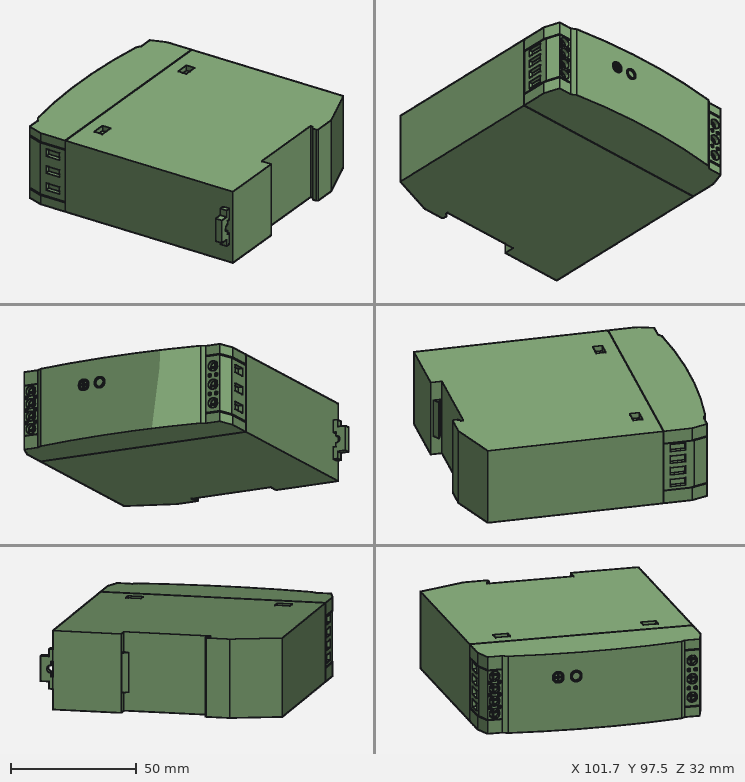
import cadquery as cq
import math

LENGTH = 101.7
HEIGHT = 92.0
WIDTH = 32.0
MID_Z = WIDTH / 2
CLEAR = 1.0

SEAM_X = 22.2
SEAM_SIZE = 0.1
TERMINAL_X = 3.9
BOW_SAG = 2.6
BOW_LOW_Y = 10.1
BOW_HIGH_Y = 81.7
STEP_LOW_Y = 8.4
STEP_HIGH_Y = 83.7
BOW_MID_Y = (BOW_LOW_Y + BOW_HIGH_Y) / 2
CAP_BEVEL_X = 10.6
CAP_BEVEL_RISE = 2.2

RAIL_X = 97.1
RAIL_LOW_Y = 28.0
RAIL_HIGH_Y = 63.6
HOOK_X = 101.3
HOOK_TIP_Y = 62.2
HOOK_TIP_X = 99.1
HOOK_ROOT_X = 98.1
HOOK_CHAMFER = 0.5
BACK_BEVEL_X = 94.2
BACK_BEVEL_Y = 72.2

CLIP_X = RAIL_X
CLIP_THICK = 3.0
CLIP_WIDTH = 16.1
CLIP_SHOULDER = 2.0
CLIP_TIP = 5.5
CLIP_TIP_WIDTH = 10.2
CLIP_NOTCH_WIDTH = 6.1
CLIP_NOTCH_STEP = 1.2
CLIP_NOTCH_END_WIDTH = 2.8
CLIP_NOTCH_DEPTH = 2.8
NOSE_START_X = 97.8
NOSE_PEAK_X = 99.0
NOSE_END_X = 100.6
NOSE_RISE = 2.4

SCREW_DIA = 4.1
SCREW_DEPTH = 2.0
CROSS_WIDTH = 0.5
CROSS_DEPTH = 0.5
PIN_DIA = 1.3
PIN_DEPTH = 1.0
WINDOW_ROW_Z = MID_Z + 0.3
WINDOW_X = 16.3
WINDOW_LENGTH = 6.3
WINDOW_WIDTH = 3.2
WINDOW_DEPTH = 2.0
SLIT_DEPTH = 0.3
SLIT_END = 8.1

LOW_SCREW_Y = 5.3
LOW_SCREW_ROW_Z = MID_Z - 0.3
LOW_PITCH = 7.6
LOW_COUNT = 3
LOW_PIN_SPREAD = 2.8
LOW_PANEL_WIDTH = 23.6
LOW_PANEL_INSET = 0.1
LOW_SLIT = 0.3

HIGH_SCREW_Y = 86.9
HIGH_SCREW_ROW_Z = MID_Z
HIGH_PITCH = 5.2
HIGH_COUNT = 4
HIGH_PIN_SPREAD = 3.9
HIGH_PANEL_WIDTH = 20.7
HIGH_PANEL_INSET = 0.3
HIGH_SLIT = 0.1

DIAL_Y = 61.5
LAMP_Y = 54.2
DIAL_Z = 22.2
RING_OUTER_DIA = 4.6
RING_INNER_DIA = 3.5
RING_DEPTH = 0.3

POCKET_X = 29.7
POCKET_YS = (15.7, 76.7)
POCKET_LENGTH = 3.9
POCKET_HEIGHT = 6.1
POCKET_DEPTH = 2.3


def box(x0, x1, y0, y1, z0, z1):
    return cq.Workplane("XY").box(x1 - x0, y1 - y0, z1 - z0, centered=False).translate((x0, y0, z0))


def rod(x0, x1, y, z, diameter):
    """Cylinder along X."""
    return cq.Workplane("YZ", origin=(x0, y, z)).circle(diameter / 2).extrude(x1 - x0)


def cross(x0, x1, y, z, size):
    """Two crossed bars facing X."""
    plane = cq.Workplane("YZ", origin=(x0, y, z))
    upright = plane.rect(CROSS_WIDTH, size).extrude(x1 - x0)
    return upright.union(plane.rect(size, CROSS_WIDTH).extrude(x1 - x0))


def row(middle, count, pitch):
    """Z positions of an even row about its middle."""
    return [middle + (i - (count - 1) / 2) * pitch for i in range(count)]


def bow_x(y):
    """X of the bowed panel at a given Y."""
    half = (BOW_HIGH_Y - BOW_LOW_Y) / 2
    radius = (half**2 + BOW_SAG**2) / (2 * BOW_SAG)
    return radius - math.sqrt(radius**2 - (y - BOW_MID_Y) ** 2)


def housing():
    return (
        cq.Workplane("XY")
        .moveTo(BOW_SAG, BOW_LOW_Y)
        .threePointArc((0, BOW_MID_Y), (BOW_SAG, BOW_HIGH_Y))
        .lineTo(TERMINAL_X, STEP_HIGH_Y)
        .lineTo(TERMINAL_X, HEIGHT - CAP_BEVEL_RISE)
        .lineTo(CAP_BEVEL_X, HEIGHT)
        .lineTo(BACK_BEVEL_X, HEIGHT)
        .lineTo(HOOK_X, BACK_BEVEL_Y)
        .lineTo(HOOK_X, HOOK_TIP_Y + HOOK_CHAMFER)
        .lineTo(HOOK_X - HOOK_CHAMFER, HOOK_TIP_Y)
        .lineTo(HOOK_TIP_X, HOOK_TIP_Y)
        .lineTo(HOOK_ROOT_X, RAIL_HIGH_Y)
        .lineTo(RAIL_X, RAIL_HIGH_Y)
        .lineTo(RAIL_X, RAIL_LOW_Y)
        .lineTo(LENGTH, RAIL_LOW_Y)
        .lineTo(LENGTH, 0)
        .lineTo(CAP_BEVEL_X, 0)
        .lineTo(TERMINAL_X, CAP_BEVEL_RISE)
        .lineTo(TERMINAL_X, STEP_LOW_Y)
        .close()
        .extrude(WIDTH)
    )


def seam():
    """Hairline groove around the joint of cap and body."""
    x1 = SEAM_X + SEAM_SIZE
    outer = box(SEAM_X, x1, -CLEAR, HEIGHT + CLEAR, -CLEAR, WIDTH + CLEAR)
    core = box(SEAM_X, x1, SEAM_SIZE, HEIGHT - SEAM_SIZE, SEAM_SIZE, WIDTH - SEAM_SIZE)
    return outer.cut(core)


def clip():
    """Sliding rail clip with a stepped tip, a notch and a latch nose."""
    z0 = MID_Z - CLIP_WIDTH / 2
    x1 = CLIP_X + CLIP_THICK
    bar = box(CLIP_X, x1, -CLIP_SHOULDER, RAIL_LOW_Y, z0, z0 + CLIP_WIDTH)
    tip_z0 = MID_Z - CLIP_TIP_WIDTH / 2
    tip = box(CLIP_X, x1, -CLIP_TIP, 0, tip_z0, tip_z0 + CLIP_TIP_WIDTH)
    half = CLIP_NOTCH_WIDTH / 2
    end_radius = CLIP_NOTCH_END_WIDTH / 2
    round_start = end_radius - CLIP_NOTCH_DEPTH
    notch = (
        cq.Workplane("YZ", origin=(CLIP_X, 0, MID_Z))
        .moveTo(0, -half)
        .lineTo(-CLIP_NOTCH_STEP, -half)
        .lineTo(-CLIP_NOTCH_STEP, -end_radius)
        .lineTo(round_start, -end_radius)
        .threePointArc((-CLIP_NOTCH_DEPTH, 0), (round_start, end_radius))
        .lineTo(-CLIP_NOTCH_STEP, end_radius)
        .lineTo(-CLIP_NOTCH_STEP, half)
        .lineTo(0, half)
        .close()
        .extrude(CLIP_THICK)
    )
    nose = (
        cq.Workplane("XY", origin=(0, RAIL_LOW_Y, z0))
        .polyline([(NOSE_START_X, 0), (NOSE_PEAK_X, NOSE_RISE), (NOSE_END_X, 0)])
        .close()
        .extrude(CLIP_WIDTH)
    )
    return bar.union(tip).cut(notch).union(nose)


def cut_screws(part, y, row_z, count, pitch, pin_spread):
    """Sunk cross-head screws, with a pair of pin holes between neighbours."""
    x0 = TERMINAL_X - CLEAR
    floor = TERMINAL_X + SCREW_DEPTH
    for z in row(row_z, count, pitch):
        part = part.cut(rod(x0, floor, y, z, SCREW_DIA))
        part = part.cut(cross(floor, floor + CROSS_DEPTH, y, z, SCREW_DIA))
    for z in row(row_z, count - 1, pitch):
        for side in (-1, 1):
            part = part.cut(rod(x0, TERMINAL_X + PIN_DEPTH, y + side * pin_spread / 2, z, PIN_DIA))
    return part


def terminal_cuts(count, pitch, panel_width, inset, slit):
    """Cutters for the y = 0 side: lowered panel, its two border slits and the wire openings."""
    half = panel_width / 2
    cuts = box(0, SEAM_X, -CLEAR, inset, MID_Z - half, MID_Z + half)
    corner = (
        cq.Workplane("XY")
        .polyline([
            (TERMINAL_X, SLIT_END), (TERMINAL_X, CAP_BEVEL_RISE), (CAP_BEVEL_X, 0),
            (SEAM_X, 0), (SEAM_X, SLIT_END),
        ])
        .close()
        .extrude(slit)
    )
    band = corner.cut(corner.translate((SLIT_DEPTH, SLIT_DEPTH, 0)))
    for z in (MID_Z - half, MID_Z + half):
        cuts = cuts.union(band.translate((0, 0, z - slit / 2)))
    x0 = WINDOW_X - WINDOW_LENGTH / 2
    for z in row(WINDOW_ROW_Z, count, pitch):
        z0 = z - WINDOW_WIDTH / 2
        cuts = cuts.union(box(x0, x0 + WINDOW_LENGTH, -CLEAR, WINDOW_DEPTH, z0, z0 + WINDOW_WIDTH))
    return cuts


def ring(y):
    """Shallow round groove in the bowed panel."""
    floor = bow_x(y) + RING_DEPTH
    groove = rod(-CLEAR, floor, y, DIAL_Z, RING_OUTER_DIA)
    return groove.cut(rod(-CLEAR, floor, y, DIAL_Z, RING_INNER_DIA))


def pocket(y):
    return box(
        POCKET_X - POCKET_LENGTH / 2, POCKET_X + POCKET_LENGTH / 2,
        y - POCKET_HEIGHT / 2, y + POCKET_HEIGHT / 2,
        WIDTH - POCKET_DEPTH, WIDTH + CLEAR,
    )


result = housing().cut(seam()).union(clip())

result = cut_screws(result, LOW_SCREW_Y, LOW_SCREW_ROW_Z, LOW_COUNT, LOW_PITCH, LOW_PIN_SPREAD)
result = cut_screws(result, HIGH_SCREW_Y, HIGH_SCREW_ROW_Z, HIGH_COUNT, HIGH_PITCH, HIGH_PIN_SPREAD)
low_cuts = terminal_cuts(LOW_COUNT, LOW_PITCH, LOW_PANEL_WIDTH, LOW_PANEL_INSET, LOW_SLIT)
high_cuts = terminal_cuts(HIGH_COUNT, HIGH_PITCH, HIGH_PANEL_WIDTH, HIGH_PANEL_INSET, HIGH_SLIT)
result = result.cut(low_cuts)
result = result.cut(high_cuts.mirror("XZ").translate((0, HEIGHT, 0)))

result = result.cut(ring(DIAL_Y)).cut(ring(LAMP_Y))
result = result.cut(cross(-CLEAR, bow_x(DIAL_Y) + RING_DEPTH, DIAL_Y, DIAL_Z, RING_INNER_DIA))

for pocket_y in POCKET_YS:
    result = result.cut(pocket(pocket_y))